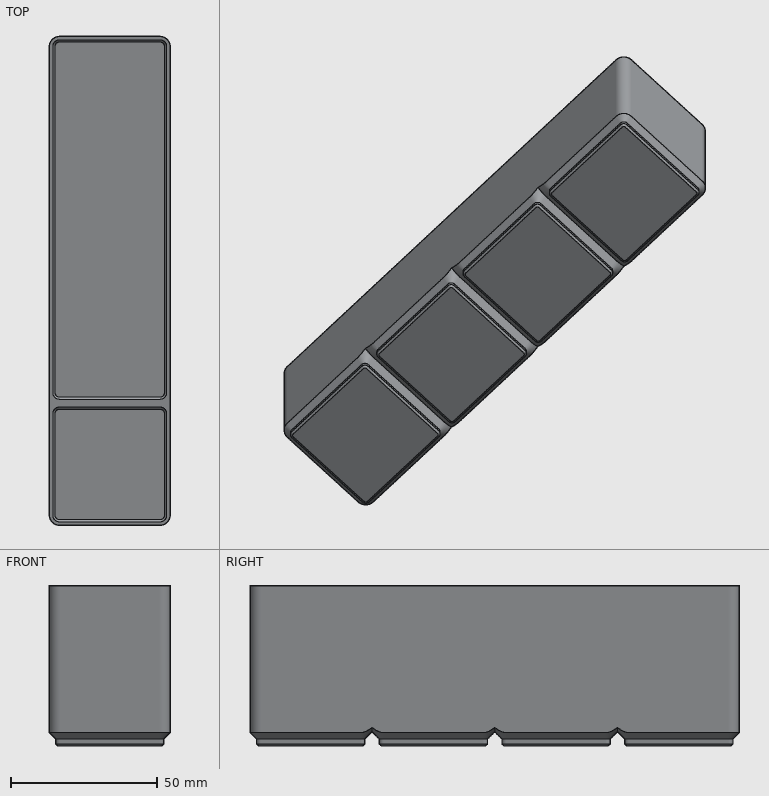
import cadquery as cq
import math


cell_count = 4
length = 167.5
height = 55.0
clearance = 0.5
pitch = (length + clearance) / cell_count
width = pitch - clearance
corner_radius = 3.7

lower_chamfer = 0.75
straight_band = 1.7
upper_chamfer = 2.2
base_height = lower_chamfer + straight_band + upper_chamfer
foot_slope = 45.0

arc_center_to_side = corner_radius
arc_center_to_joint = corner_radius + clearance / 2
gap_rise = math.hypot(arc_center_to_side, arc_center_to_joint) - corner_radius
slope_end = base_height + gap_rise

wall = 2.0
divider = 4.2
divider_center = 41.9
floor_top = base_height + wall
cavity_radius = 1.5
rim_chamfer = 0.75


def rounded_block(size_x, size_y, size_z, radius, center_y, bottom, taper=0.0):
    """Block with rounded vertical corners; a negative taper widens it upwards."""
    outline = cq.Sketch().rect(size_x, size_y).vertices().fillet(radius)
    return (
        cq.Workplane("XY", origin=(0, center_y, bottom))
        .placeSketch(outline)
        .extrude(size_z, taper=taper)
    )


def foot(center_y):
    """Stepped foot whose upper slope continues outwards past the cell edge."""
    band_width = width - 2 * upper_chamfer
    band_radius = corner_radius - upper_chamfer
    tip_width = band_width - 2 * lower_chamfer
    tip_radius = band_radius - lower_chamfer
    tip = rounded_block(tip_width, tip_width, lower_chamfer, tip_radius, center_y, 0, -foot_slope)
    band = rounded_block(band_width, band_width, straight_band, band_radius, center_y, lower_chamfer)
    slope_start = lower_chamfer + straight_band
    slope_rise = slope_end - slope_start
    slope = rounded_block(
        band_width, band_width, slope_rise, band_radius, center_y, slope_start, -foot_slope
    )
    return tip.union(band).union(slope)


def compartment(start_y, end_y):
    """Open-topped cavity between two Y positions, flared by the rim chamfer."""
    size_x = width - 2 * wall
    size_y = end_y - start_y
    center_y = (start_y + end_y) / 2
    pocket = rounded_block(size_x, size_y, height - floor_top, cavity_radius, center_y, floor_top)
    flare = rounded_block(
        size_x, size_y, rim_chamfer, cavity_radius, center_y, height - rim_chamfer, -foot_slope
    )
    return pocket.union(flare)


body = rounded_block(width, length, height - slope_end, corner_radius, 0, slope_end)
for cell in range(cell_count):
    body = body.union(foot((cell - (cell_count - 1) / 2) * pitch))
envelope = rounded_block(width, length, height, corner_radius, 0, 0)
body = body.intersect(envelope)

divider_y = divider_center - length / 2
small_compartment = compartment(wall - length / 2, divider_y - divider / 2)
long_compartment = compartment(divider_y + divider / 2, length / 2 - wall)

result = body.cut(small_compartment).cut(long_compartment)